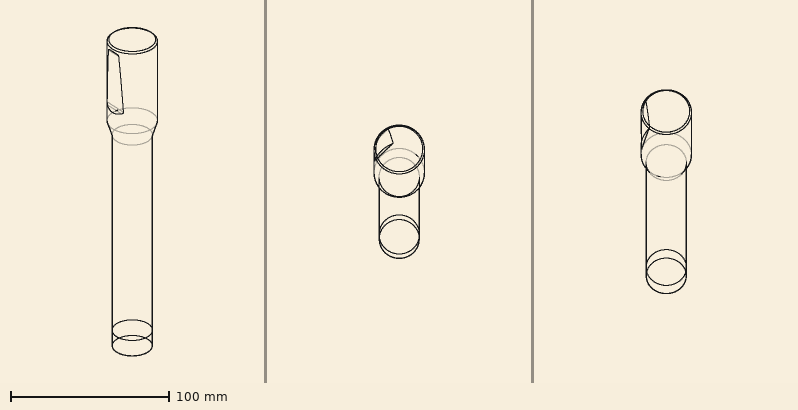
import cadquery as cq
import math

TOTAL_LENGTH = 230.0
POINT_HEIGHT = 4.5
TIP_TOP = 16.0
CONE_BOTTOM = 159.8
CONE_TOP = 170.2

BODY_DIAMETER = 25.5
TIP_TAPER = 0.12
SHANK_DIAMETER = 32.0
CHAMFER_WIDTH = 1.2
CHAMFER_HEIGHT = 1.2

NOTCH_TOP = 227.5
NOTCH_BOTTOM = 184.5
NOTCH_DEPTH = 2.3
NOTCH_TILT = 2.0
NOTCH_RAMP_ANGLE = 45.0
NOTCH_FILLET = 2.0
CUT_CLEARANCE = 2.3

BODY_RADIUS = BODY_DIAMETER / 2
SHANK_RADIUS = SHANK_DIAMETER / 2


def make_notch_cutter():
    """Prism with a tilted floor, a steep top wall and a sloped lower ramp."""
    floor_length = NOTCH_TOP - NOTCH_BOTTOM
    tilt = math.tan(math.radians(NOTCH_TILT))
    floor_bottom_y = -SHANK_RADIUS + NOTCH_DEPTH
    floor_top_y = floor_bottom_y - floor_length * tilt
    outside_y = -SHANK_RADIUS - CUT_CLEARANCE
    ramp_drop = (floor_bottom_y - outside_y) / math.tan(math.radians(NOTCH_RAMP_ANGLE))
    profile = [
        (floor_bottom_y, NOTCH_BOTTOM),
        (floor_top_y, NOTCH_TOP),
        (outside_y, NOTCH_TOP),
        (outside_y, NOTCH_BOTTOM - ramp_drop),
    ]
    cutter = cq.Workplane("YZ").polyline(profile).close().extrude(SHANK_RADIUS, both=True)
    floor_edges = cutter.edges("|X").edges(cq.selectors.BoxSelector(
        (-SHANK_DIAMETER, -SHANK_RADIUS, 0),
        (SHANK_DIAMETER, 0, TOTAL_LENGTH),
    ))
    return floor_edges.fillet(NOTCH_FILLET)


def make_holder():
    """Long round body with a conical shoulder, a thicker shank and its notch."""
    half_profile = [
        (0, TIP_TOP),
        (BODY_RADIUS, TIP_TOP),
        (BODY_RADIUS, CONE_BOTTOM),
        (SHANK_RADIUS, CONE_TOP),
        (SHANK_RADIUS, TOTAL_LENGTH - CHAMFER_HEIGHT),
        (SHANK_RADIUS - CHAMFER_WIDTH, TOTAL_LENGTH),
        (0, TOTAL_LENGTH),
    ]
    blank = cq.Workplane("XZ").polyline(half_profile).close().revolve(360, (0, 0), (0, 1))
    return blank.cut(make_notch_cutter())


def make_tip():
    """Short, very slightly tapered plug ending in a blunt conical point."""
    half_profile = [
        (0, 0),
        (BODY_RADIUS - TIP_TAPER / 2, POINT_HEIGHT),
        (BODY_RADIUS, TIP_TOP),
        (0, TIP_TOP),
    ]
    return cq.Workplane("XZ").polyline(half_profile).close().revolve(360, (0, 0), (0, 1))


holder = make_holder()
tip = make_tip()

result = cq.Compound.makeCompound([holder.val(), tip.val()])